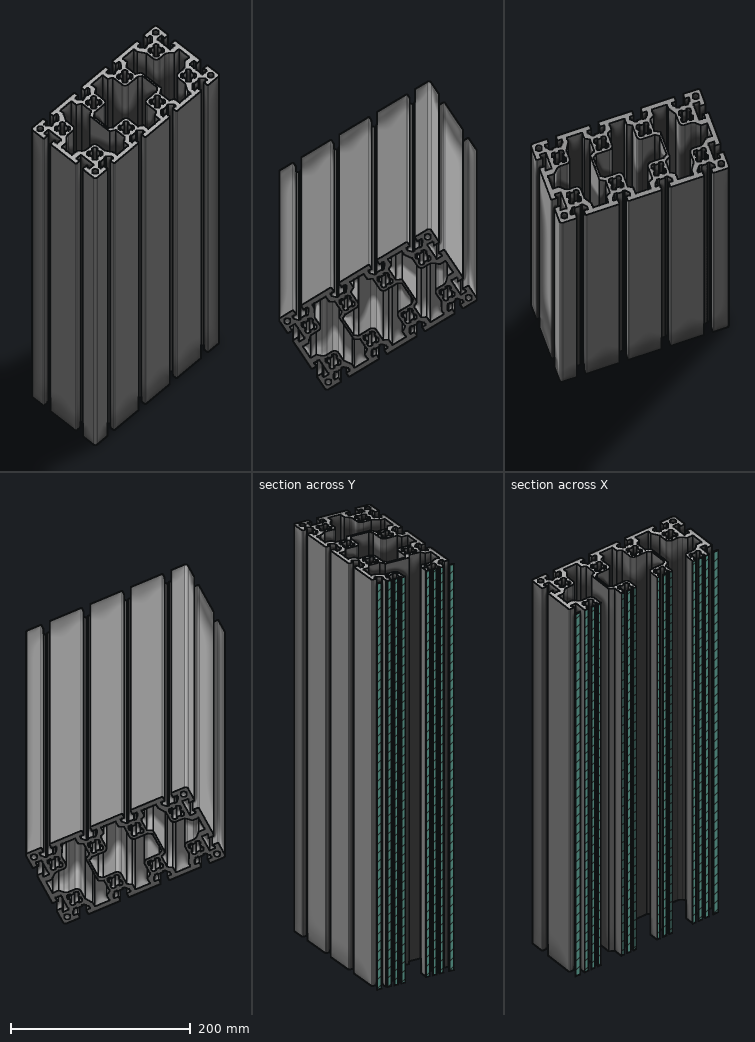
import cadquery as cq

width = 100.0
depth = 200.0
length = 500.0
half_width = width / 2
half_depth = depth / 2
corner_radius = 3.0
lip_radius = 1.0

pitch = 50.0
core_x = pitch / 2
inner_row = pitch / 2
outer_row = 3 * pitch / 2
core_rows = (-outer_row, -inner_row, inner_row, outer_row)

wall_thickness = 6.0
mouth_half = 5.0
slot_half = 10.0
slot_depth = 13.0
lip_bead_height = 1.5
lip_bead_width = 2.5
shoulder_depth = wall_thickness + 3.0
side_floor_half = 6.0
side_floor_depth = 13.5
floor_pad_half = 3.5
floor_pad_depth = 12.5

core_void = 14.0
core_void_radius = 2.5
core_rib_width = 5.0
core_rib_height = 1.5

corner_bore_diameter = 7.0
corner_bore_inset = 7.5

core_wall_half = 10.5
core_edge_x = core_x - core_wall_half
core_edge_radius = 5.0
side_wall_x = half_width - wall_thickness
web_half = 16.0
outer_taper_start = 5.0
outer_taper_end = 14.0
inner_taper_start = 8.5
inner_taper_end = 11.5

neck_half = 8.0
neck_taper_top = 86.5
neck_taper_bottom = 80.0
neck_foot_radius = 7.5

bridge_top = 41.5
bridge_thickness = 2.5
bridge_top_half = 15.5
bridge_foot_half = 19.0
bridge_ceiling_half = 11.5
bridge_ceiling_foot = 34.5


def mirrored_prism(right_side):
    """Extrude an outline symmetric about X = 0, given by the points of its +X half."""
    left_side = [(-x, y) for x, y in reversed(right_side)]
    return cq.Workplane("XY").polyline(right_side + left_side).close().extrude(length)


def turned(shape, angle):
    return shape.rotate((0, 0, 0), (0, 0, 1), angle)


def round_upright_edges(solid, places, radius):
    """Round the upright edges that stand at the given (x, y) places."""
    edges = []
    for x, y in places:
        nearest = cq.selectors.NearestToPointSelector((x, y, length / 2))
        edges.append(solid.edges(nearest).val())
    return solid.newObject(edges).fillet(radius)


def make_end_slot():
    """Rectangular T-slot opening toward +Y at Y = 0, with beads hanging from its lips."""
    return mirrored_prism([
        (mouth_half, 0),
        (mouth_half, -wall_thickness - lip_bead_height),
        (mouth_half + lip_bead_width, -wall_thickness),
        (slot_half, -wall_thickness),
        (slot_half, -slot_depth),
    ])


def make_side_slot():
    """T-slot opening toward +Y at Y = 0, with slanted shoulders and a raised floor pad."""
    return mirrored_prism([
        (mouth_half, 0),
        (mouth_half, -wall_thickness),
        (slot_half, -wall_thickness),
        (slot_half, -shoulder_depth),
        (side_floor_half, -side_floor_depth),
        (floor_pad_half, -side_floor_depth),
        (floor_pad_half, -floor_pad_depth),
    ])


def make_core_void():
    void = cq.Workplane("XY").rect(core_void, core_void).extrude(length)
    void = void.edges("|Z").fillet(core_void_radius)
    rib = (
        cq.Workplane("XY")
        .center(core_void / 2, 0)
        .rect(2 * core_rib_height, core_rib_width)
        .extrude(length)
    )
    for angle in (0, 90, 180, 270):
        void = void.cut(turned(rib, angle))
    return void


def make_end_cavity():
    """T-shaped cavity between the +Y end wall and the bridge."""
    cavity = mirrored_prism([
        (neck_half, half_depth - wall_thickness),
        (neck_half, neck_taper_top),
        (core_edge_x, neck_taper_bottom),
        (core_edge_x, outer_row - core_wall_half),
        (core_x + outer_taper_start, outer_row - core_wall_half),
        (core_x + outer_taper_end, outer_row - web_half),
        (side_wall_x, outer_row - web_half),
        (side_wall_x, inner_row + web_half),
        (core_x + inner_taper_end, inner_row + web_half),
        (core_x + inner_taper_start, inner_row + core_wall_half),
        (bridge_foot_half, inner_row + core_wall_half),
        (bridge_top_half, bridge_top),
    ])
    corner_y = outer_row - core_wall_half
    corners = [(-core_edge_x, corner_y), (core_edge_x, corner_y)]
    cavity = round_upright_edges(cavity, corners, core_edge_radius)
    feet = [(-core_edge_x, neck_taper_bottom), (core_edge_x, neck_taper_bottom)]
    return round_upright_edges(cavity, feet, neck_foot_radius)


def make_middle_cavity():
    """Cross-shaped cavity between the two bridges."""
    upper_right = [
        (bridge_ceiling_half, bridge_top - bridge_thickness),
        (core_edge_x, bridge_ceiling_foot),
        (core_edge_x, inner_row - core_wall_half),
        (core_x + inner_taper_start, inner_row - core_wall_half),
        (core_x + inner_taper_end, inner_row - web_half),
        (side_wall_x, inner_row - web_half),
    ]
    lower_right = [(x, -y) for x, y in reversed(upper_right)]
    cavity = mirrored_prism(upper_right + lower_right)
    corner_y = inner_row - core_wall_half
    corners = [(x, y) for x in (-core_edge_x, core_edge_x) for y in (-corner_y, corner_y)]
    return round_upright_edges(cavity, corners, core_edge_radius)


end_slot = make_end_slot().translate((0, half_depth, 0))
side_slot = turned(make_side_slot(), -90).translate((half_width, 0, 0))
section = cq.Workplane("XY").rect(width, depth).extrude(length)
section = section.edges("|Z").fillet(corner_radius)
for angle in (0, 180):
    for x in (-core_x, core_x):
        section = section.cut(turned(end_slot.translate((x, 0, 0)), angle))
    for y in core_rows:
        section = section.cut(turned(side_slot.translate((0, y, 0)), angle))

lips = []
for side in (-mouth_half, mouth_half):
    lips += [(x, y + side) for x in (-half_width, half_width) for y in core_rows]
    lips += [(x + side, y) for x in (-core_x, core_x) for y in (-half_depth, half_depth)]
section = round_upright_edges(section, lips, lip_radius)

end_cavity = make_end_cavity()
section = section.cut(make_middle_cavity())
section = section.cut(end_cavity).cut(turned(end_cavity, 180))

core_hole = make_core_void()
for x in (-core_x, core_x):
    for y in core_rows:
        section = section.cut(core_hole.translate((x, y, 0)))

corner_bores = (
    cq.Workplane("XY")
    .rect(width - 2 * corner_bore_inset, depth - 2 * corner_bore_inset, forConstruction=True)
    .vertices()
    .circle(corner_bore_diameter / 2)
    .extrude(length)
)
result = section.cut(corner_bores)